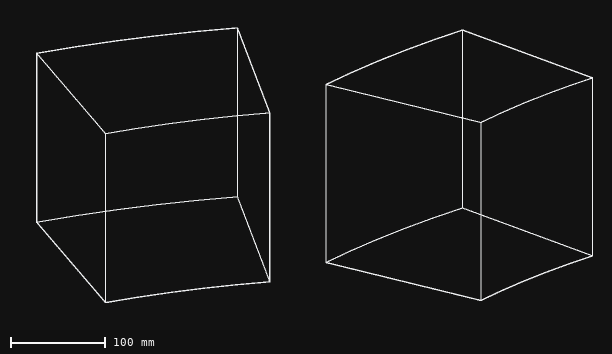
import cadquery as cq
import math

SECTION_SIDE = 200.0
CENTRELINE_RADIUS = 1000.0
CENTRELINE_LENGTH = 200.0

bend_angle = math.degrees(CENTRELINE_LENGTH / CENTRELINE_RADIUS)


def bent_square_bar():
    """Sweep the square end face about a vertical axis at the centre of the bend."""
    axis_start = (CENTRELINE_RADIUS, 0, 0)
    axis_end = (CENTRELINE_RADIUS, -1, 0)
    return (
        cq.Workplane("XZ")
        .rect(SECTION_SIDE, SECTION_SIDE)
        .revolve(bend_angle, axis_start, axis_end)
    )


result = bent_square_bar()